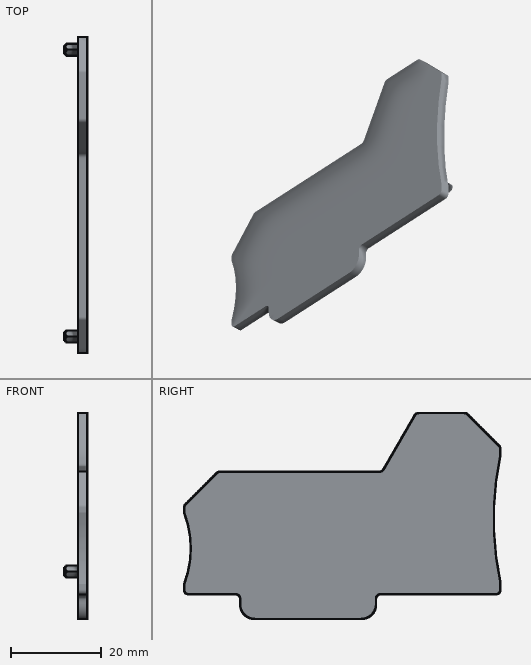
import cadquery as cq
import math

length = 69.65
height = 45.35
thickness = 2.1
half_length = length / 2

base_z = 5.4
step_z = 32.45
corner_cut = 7.5
slope_top_y = 16.2
slope_angle = 30.0
slope_bottom_y = slope_top_y - (height - step_z) * math.tan(math.radians(slope_angle))

hollow_depth = 1.45
left_hollow_low = 8.1
left_hollow_high = 36.0
right_hollow_low = 7.65
right_hollow_high = 23.4

tab_left_y = 7.45
tab_right_y = -22.5
tab_radius = 3.2
tab_root_radius = 1.0
corner_radius = 1.0

pin_length = 3.0
pin_diagonal = 2.7
pin_tip_radius = 0.8
pin_z = 10.45
pin_ys = (32.0, -31.1)


def make_plate():
    left_middle_z = (left_hollow_low + left_hollow_high) / 2
    right_middle_z = (right_hollow_low + right_hollow_high) / 2
    plate = (
        cq.Workplane("YZ")
        .moveTo(half_length, base_z)
        .lineTo(half_length, left_hollow_low)
        .threePointArc((half_length - hollow_depth, left_middle_z), (half_length, left_hollow_high))
        .lineTo(half_length, height - corner_cut)
        .lineTo(half_length - corner_cut, height)
        .lineTo(slope_top_y, height)
        .lineTo(slope_bottom_y, step_z)
        .lineTo(-half_length + corner_cut, step_z)
        .lineTo(-half_length, step_z - corner_cut)
        .lineTo(-half_length, right_hollow_high)
        .threePointArc((-half_length + hollow_depth, right_middle_z), (-half_length, right_hollow_low))
        .lineTo(-half_length, base_z)
        .lineTo(tab_right_y, base_z)
        .lineTo(tab_right_y, 0)
        .lineTo(tab_left_y, 0)
        .lineTo(tab_left_y, base_z)
        .close()
        .extrude(thickness)
    )
    rounded_corners = (
        ((tab_left_y, 0), tab_radius),
        ((tab_right_y, 0), tab_radius),
        ((tab_left_y, base_z), tab_root_radius),
        ((tab_right_y, base_z), tab_root_radius),
        ((half_length, base_z), corner_radius),
        ((-half_length, base_z), corner_radius),
        ((half_length, height - corner_cut), corner_radius),
        ((half_length - corner_cut, height), corner_radius),
        ((slope_top_y, height), corner_radius),
        ((slope_bottom_y, step_z), corner_radius),
        ((-half_length + corner_cut, step_z), corner_radius),
        ((-half_length, step_z - corner_cut), corner_radius),
    )
    for (y, z), radius in rounded_corners:
        corner_edge = cq.selectors.NearestToPointSelector((thickness / 2, y, z))
        plate = plate.edges("|X").edges(corner_edge).fillet(radius)
    return plate


def make_pin(y):
    root_x = thickness / 2
    bar_length = pin_length + root_x
    bar = (
        cq.Workplane("YZ", origin=(root_x, y, pin_z))
        .polygon(4, pin_diagonal)
        .extrude(-bar_length)
    )
    cone = cq.Solid.makeCone(
        pin_tip_radius,
        pin_tip_radius + bar_length,
        bar_length,
        pnt=cq.Vector(-pin_length, y, pin_z),
        dir=cq.Vector(1, 0, 0),
    )
    return bar.intersect(cq.Workplane(obj=cone))


result = make_plate()
for pin_y in pin_ys:
    result = result.union(make_pin(pin_y))